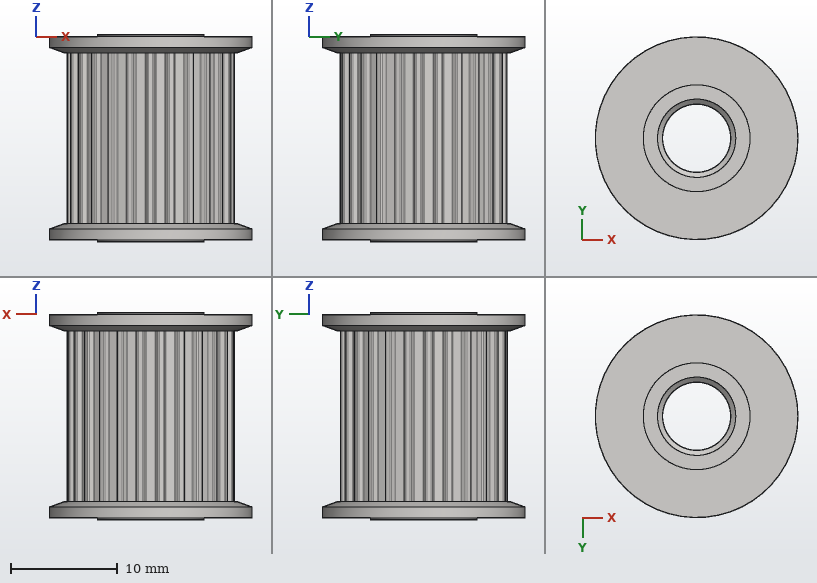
import cadquery as cq
import math

total_height = 19.4
flange_diameter = 19.0
flange_radius = flange_diameter / 2

hub_radius = 5.0
hub_rise = 0.2

rim_thickness = 1.0
cone_height = 0.5
cone_inner_radius = 8.1

bore_radius = 3.18
bore_chamfer = 0.48

tooth_count = 25
tooth_tip_radius = 7.84
groove_depth = 0.52
groove_floor_width = 0.87
groove_wall_angle = 28.0
tip_round_radius = 0.14
root_round_radius = 0.08
tooth_pitch_angle = 360.0 / tooth_count
first_groove_angle = 90.0
edge_match_tolerance = 0.002

flange_thickness = rim_thickness + cone_height
drum_bottom = hub_rise + flange_thickness
drum_height = total_height - 2 * drum_bottom


def make_hub():
    """Core cylinder running the full height of the pulley."""
    return cq.Workplane("XY").circle(hub_radius).extrude(total_height)


def make_bottom_flange():
    """Lower flange, with its conical side facing the drum."""
    rim_top = hub_rise + rim_thickness
    profile = [
        (0, hub_rise),
        (flange_radius, hub_rise),
        (flange_radius, rim_top),
        (cone_inner_radius, drum_bottom),
        (0, drum_bottom),
    ]
    return cq.Workplane("XZ").polyline(profile).close().revolve(360, (0, 0), (0, 1))


def make_groove():
    """Cutter for one groove, flaring outward, centred on the +X axis."""
    floor_x = tooth_tip_radius - groove_depth
    outer_x = tooth_tip_radius + groove_depth
    floor_half = groove_floor_width / 2
    outer_half = floor_half + (outer_x - floor_x) * math.tan(math.radians(groove_wall_angle))
    outline = [
        (floor_x, -floor_half),
        (outer_x, -outer_half),
        (outer_x, outer_half),
        (floor_x, floor_half),
    ]
    return cq.Workplane("XY").polyline(outline).close().extrude(drum_height)


def distance_from_axis(edge):
    """Distance of an upright edge from the pulley's axis."""
    center = edge.Center()
    return math.hypot(center.x, center.y)


def make_drum():
    """Toothed drum with evenly spaced grooves, rounded at the tooth tips and groove roots."""
    drum = cq.Workplane("XY").circle(tooth_tip_radius).extrude(drum_height)
    groove = make_groove()
    for index in range(tooth_count):
        angle = first_groove_angle + index * tooth_pitch_angle
        drum = drum.cut(groove.rotate((0, 0, 0), (0, 0, 1), angle))

    mid_depth_radius = tooth_tip_radius - groove_depth / 2
    upright_edges = drum.edges("|Z").vals()
    tip_edges = [edge for edge in upright_edges if distance_from_axis(edge) > mid_depth_radius]
    drum = drum.newObject(tip_edges).fillet(tip_round_radius)

    upright_edges = drum.edges("|Z").vals()
    floor_corner_radius = math.hypot(tooth_tip_radius - groove_depth, groove_floor_width / 2)
    root_edges = [
        edge for edge in upright_edges
        if abs(distance_from_axis(edge) - floor_corner_radius) < edge_match_tolerance
    ]
    drum = drum.newObject(root_edges).fillet(root_round_radius)
    return drum.translate((0, 0, drum_bottom))


def make_bore():
    """Through bore widened by a chamfer at each end."""
    mouth_radius = bore_radius + bore_chamfer
    profile = [
        (0, 0),
        (mouth_radius, 0),
        (bore_radius, bore_chamfer),
        (bore_radius, total_height - bore_chamfer),
        (mouth_radius, total_height),
        (0, total_height),
    ]
    return cq.Workplane("XZ").polyline(profile).close().revolve(360, (0, 0), (0, 1))


bottom_flange = make_bottom_flange()
middle_plane_point = (0, 0, total_height / 2)
top_flange = bottom_flange.mirror("XY", middle_plane_point)

result = make_drum().union(make_hub()).union(bottom_flange).union(top_flange).cut(make_bore())